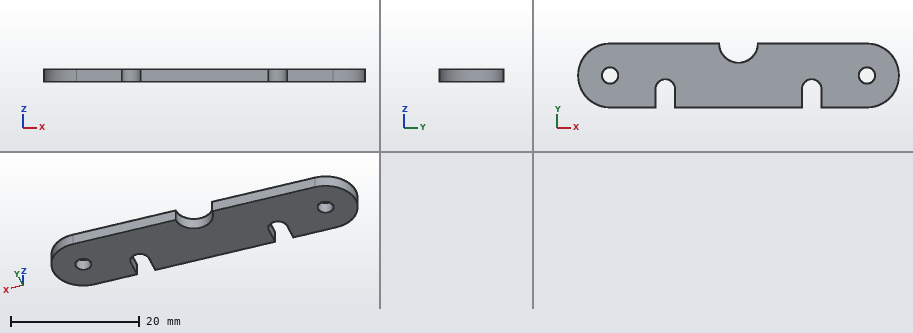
import cadquery as cq

length = 50
width = 10
thickness = 2
end_center_x = (length - width) / 2

hole_diameter = 2.5

notch_diameter = 6

slot_width = 3
slot_depth = 4.4
slot_center_x = 11.4


def make_plate():
    return cq.Workplane("XY").slot2D(length, width).extrude(thickness)


def make_end_holes():
    centers = [(-end_center_x, 0), (end_center_x, 0)]
    return cq.Workplane("XY").pushPoints(centers).circle(hole_diameter / 2).extrude(thickness)


def make_edge_notch():
    return cq.Workplane("XY").center(0, width / 2).circle(notch_diameter / 2).extrude(thickness)


def make_edge_slot(center_x):
    radius = slot_width / 2
    straight_depth = slot_depth - radius
    return (
        cq.Workplane("XY")
        .center(center_x, -width / 2)
        .moveTo(-radius, 0)
        .lineTo(-radius, straight_depth)
        .threePointArc((0, slot_depth), (radius, straight_depth))
        .lineTo(radius, 0)
        .close()
        .extrude(thickness)
    )


result = make_plate().cut(make_end_holes()).cut(make_edge_notch())
for slot_x in (-slot_center_x, slot_center_x):
    result = result.cut(make_edge_slot(slot_x))